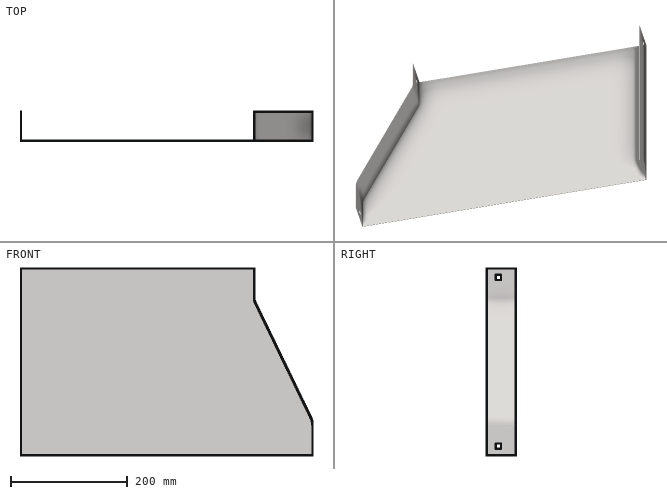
import cadquery as cq

length = 500.0
depth = 50.0
height = 320.0
sheet = 0.8

top_length = 400.0
lower_corner_height = 58.5
upper_corner_height = 265.5
lower_bend_radius = 30.0
upper_bend_radius = 20.0

hole_size = 8.5
hole_setback = 20.0
hole_edge_distance = 15.5


def solid_envelope():
    """Full-depth block with the panel outline and its two rounded bends."""
    block = (
        cq.Workplane("XZ")
        .polyline([
            (0, 0),
            (length, 0),
            (length, lower_corner_height),
            (top_length, upper_corner_height),
            (top_length, height),
            (0, height),
        ])
        .close()
        .extrude(-depth)
    )
    bends = [
        (length, lower_corner_height, lower_bend_radius),
        (top_length, upper_corner_height, upper_bend_radius),
    ]
    for x, z, radius in bends:
        edge = cq.selectors.NearestToPointSelector((x, depth / 2, z))
        block = block.edges("|Y").edges(edge).fillet(radius)
    return block


def folded_sheet():
    """Front panel with side flanges, open at the back, top and bottom."""
    return solid_envelope().faces(">Y or >Z or <Z").shell(-sheet)


def mounting_holes():
    """Square bars along X that pierce both flanges near top and bottom."""
    heights = [hole_edge_distance, height - hole_edge_distance]
    return (
        cq.Workplane("YZ")
        .pushPoints([(hole_setback, z) for z in heights])
        .rect(hole_size, hole_size)
        .extrude(length)
    )


result = folded_sheet().cut(mounting_holes())